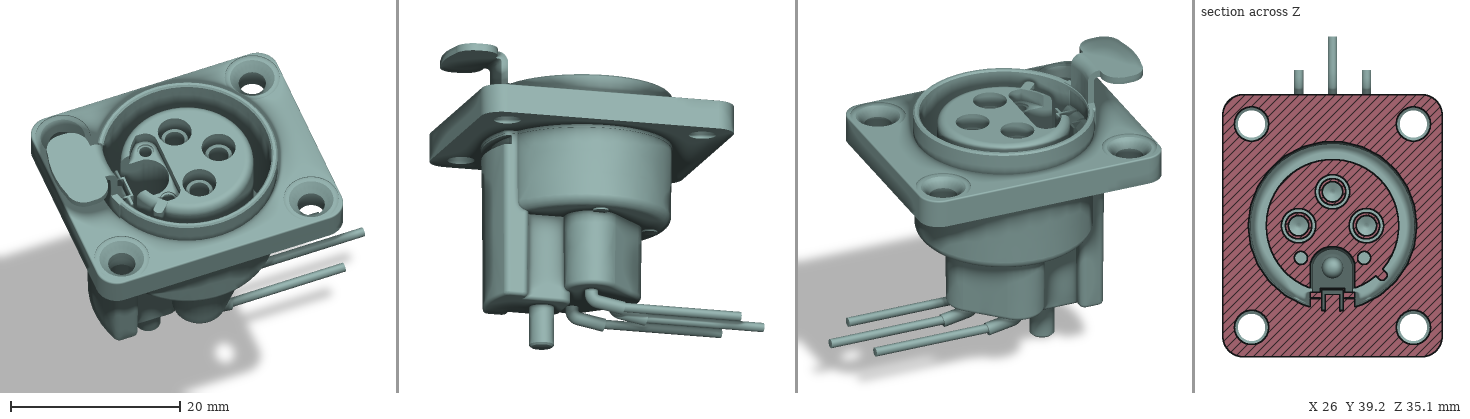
import cadquery as cq
import math


FLANGE_WIDTH = 26.0
FLANGE_LENGTH = 31.05
FLANGE_THICKNESS = 3.45
FLANGE_CORNER_RADIUS = 2.5
FLANGE_EDGE_FILLET = 0.2
SCREW_SPACING_X = 19.1
SCREW_SPACING_Y = 24.02
SCREW_DIAMETER = 3.2
SCREW_CONE_DIAMETER = 5.25
SCREW_RECESS_DIAMETER = 6.5
SCREW_RECESS_DEPTH = 0.1

RIM_TOP = 2.7
RIM_OUTER_RADIUS = 10.7
RIM_LIP_CHAMFER = 0.2
OPENING_TOP_RADIUS = 10.0
OPENING_FLOOR_RADIUS = 9.65
COLLAR_BOTTOM = -3.8
COLLAR_STEP = 0.08
BOWL_BOTTOM = -13.05
BOWL_TOP_RADIUS = RIM_OUTER_RADIUS - COLLAR_STEP
BOWL_LOWER_RADIUS = 10.55
BOWL_CORNER_RADIUS = 1.15
BOWL_FLOOR_THICKNESS = 1.18
SOCKET_FLOOR = BOWL_BOTTOM + BOWL_FLOOR_THICKNESS
PAD_DIAMETER = 1.9
PAD_HEIGHT = 0.2
PAD_SIDE_X = 7.85
PAD_BACK_Y = 8.35

INSERT_TOP = 2.08
INSERT_RADIUS = 7.85
INSERT_EDGE_RADIUS = 1.02
INSERT_FACE_RADIUS = INSERT_RADIUS - INSERT_EDGE_RADIUS
RECESS_DEPTH = 1.57
RECESS_FLOOR = INSERT_TOP - RECESS_DEPTH
RECESS_HALF_WIDTH = 5.15
RECESS_BACK = -2.4
RECESS_CORNER_RADIUS = 1.45
RIVET_X = 3.73
RIVET_Y = -3.8
RIVET_DIAMETER = 1.5
RIVET_MOUTH_DIAMETER = 1.95
RIVET_MOUTH_DEPTH = 0.2
RIVET_DEPTH = 2.35
KEY_WIDTH = 1.18
KEY_REACH = 8.87
KEY_ANGLE = -45
KEY_TIP_RADIUS = 0.47

CONTACT_PITCH = 4.0
CONTACT_HOLE_DIAMETER = 4.0
CONTACT_HOLE_FLOOR = -7.85
SLEEVE_DIAMETER = 3.18
SLEEVE_BORE_DIAMETER = 2.35
SLEEVE_BORE_DEPTH = 4.7
BORE_TIP_ANGLE = 118
TERMINAL_DIAMETER = 1.57
TERMINAL_BEND_RADIUS = 0.95
TERMINAL_SLOPE = 10
TERMINAL_DROP = 0.4
TERMINAL_LENGTH = 3.92
WIRE_DIAMETER = 1.1
WIRE_Z = -23.7
WIRE_END = 18.35

BLOCK_BOTTOM = -21.95
BLOCK_LOBE_RADIUS = 3.25
BLOCK_DRAFT = 0.6
BLOCK_EDGE_FILLET = 0.5

HOUSING_BOTTOM = -23.4
HOUSING_HALF_WIDTH = 5.0
HOUSING_FRONT_RADIUS = 11.9
HOUSING_BACK = -7.77
HOUSING_BACK_CORNER = 0.7
HOUSING_FRONT_CORNER = 0.75
HOUSING_DRAFT = 0.5
HOUSING_EDGE_FILLET = 0.4
NECK_HALF_WIDTH = 3.35
NECK_BACK = -2.05
NECK_CORNER = 1.5
SLOT_TOP = -4.0
SLOT_BOTTOM = -5.05
SLOT_BACK_RADIUS = 10.6
PIN_Y = -4.95
PIN_DIAMETER = 3.0
PIN_BOTTOM = -28.22
PIN_CHAMFER = 0.25

CAVITY_HALF_WIDTH = 2.65
CAVITY_BACK = -2.45
CAVITY_SHOULDER = -4.5
CAVITY_FRONT = -10.2
CAVITY_FLOOR = BLOCK_BOTTOM
CAVITY_DRAFT = 0.9
DOME_DIAMETER = 2.55
BAR_TOP = 0.0
BAR_BACK = -7.8
BAR_FRONT = -9.35
BAR_LAND = 0.27
BAR_VALLEY = -8.55
BAR_DIP = 0.8
FRAME_HALF_WIDTH = 1.5
FRAME_BACK = -7.38
FRAME_WALL = 0.25
TONGUE_HALF_WIDTH = 0.85
TONGUE_BACK = -7.95
TONGUE_FRONT = -9.55
TONGUE_RISE = 0.8

LATCH_OUTER_RADIUS = 10.87
LATCH_THICKNESS = 0.8
LATCH_BOTTOM = -5.5
LATCH_INNER_RADIUS = LATCH_OUTER_RADIUS - LATCH_THICKNESS
LATCH_HALF_ANGLE = 21.7
LATCH_ARM_HALF_WIDTH = 2.45
LATCH_SHOULDER_RADIUS = 0.3
LATCH_INNER_BEND = 0.45
BEND_END_RADIUS = LATCH_OUTER_RADIUS + LATCH_INNER_BEND
TAB_TOP = 6.85
TAB_THICKNESS = 0.85
TAB_BOTTOM = TAB_TOP - TAB_THICKNESS
TAB_HALF_WIDTH = 5.2
TAB_FRONT = -16.88
TAB_BACK = -11.35
TAB_CORNER_X = 3.15
TAB_SIDE_BACK = -13.65
TAB_SIDE_FRONT = -14.2
TAB_FRONT_CORNER_Y = -16.45

CONTACT_POINTS = [(-CONTACT_PITCH, 0), (CONTACT_PITCH, 0), (0, CONTACT_PITCH)]


def cylinder(x, y, diameter, bottom, top):
    return cq.Workplane("XY", origin=(x, y, bottom)).circle(diameter / 2).extrude(top - bottom)


def box(x_range, y_range, z_range):
    sizes = [high - low for low, high in (x_range, y_range, z_range)]
    return cq.Workplane("XY").box(*sizes, centered=False).translate((x_range[0], y_range[0], z_range[0]))


def flange():
    plate = (
        cq.Workplane("XY")
        .rect(FLANGE_WIDTH, FLANGE_LENGTH)
        .extrude(-FLANGE_THICKNESS)
        .edges("|Z")
        .fillet(FLANGE_CORNER_RADIUS)
        .faces(">Z")
        .edges()
        .fillet(FLANGE_EDGE_FILLET)
    )
    cone_depth = (SCREW_CONE_DIAMETER - SCREW_DIAMETER) / 2
    cone_top = -SCREW_RECESS_DEPTH
    screw_hole = (
        cylinder(0, 0, SCREW_DIAMETER, -FLANGE_THICKNESS, 0)
        .union(cylinder(0, 0, SCREW_RECESS_DIAMETER, cone_top, 0))
        .union(
            cq.Workplane("XY", origin=(0, 0, cone_top))
            .circle(SCREW_CONE_DIAMETER / 2)
            .workplane(offset=-cone_depth)
            .circle(SCREW_DIAMETER / 2)
            .loft(ruled=True)
        )
    )
    for x in (-SCREW_SPACING_X / 2, SCREW_SPACING_X / 2):
        for y in (-SCREW_SPACING_Y / 2, SCREW_SPACING_Y / 2):
            plate = plate.cut(screw_hole.translate((x, y, 0)))
    return plate


def shell():
    profile = (
        cq.Workplane("XZ")
        .moveTo(0, RIM_TOP)
        .lineTo(RIM_OUTER_RADIUS - RIM_LIP_CHAMFER, RIM_TOP)
        .lineTo(RIM_OUTER_RADIUS, RIM_TOP - RIM_LIP_CHAMFER)
        .lineTo(RIM_OUTER_RADIUS, COLLAR_BOTTOM)
        .lineTo(BOWL_TOP_RADIUS, COLLAR_BOTTOM)
        .lineTo(BOWL_LOWER_RADIUS, BOWL_BOTTOM + BOWL_CORNER_RADIUS)
        .radiusArc((BOWL_LOWER_RADIUS - BOWL_CORNER_RADIUS, BOWL_BOTTOM), BOWL_CORNER_RADIUS)
        .lineTo(0, BOWL_BOTTOM)
        .close()
    )
    body = profile.revolve(360, (0, 0, 0), (0, 1, 0))
    for x, y in [(-PAD_SIDE_X, 0), (PAD_SIDE_X, 0), (0, PAD_BACK_Y)]:
        body = body.union(cylinder(x, y, PAD_DIAMETER, BOWL_BOTTOM - PAD_HEIGHT, BOWL_BOTTOM))
    return body


def socket_space():
    """Round opening that narrows towards its floor."""
    lip_bottom = RIM_TOP - RIM_LIP_CHAMFER
    return (
        cq.Workplane("XZ")
        .moveTo(0, RIM_TOP)
        .lineTo(OPENING_TOP_RADIUS + RIM_LIP_CHAMFER, RIM_TOP)
        .lineTo(OPENING_TOP_RADIUS, lip_bottom)
        .lineTo(OPENING_FLOOR_RADIUS, SOCKET_FLOOR)
        .lineTo(0, SOCKET_FLOOR)
        .close()
        .revolve(360, (0, 0, 0), (0, 1, 0))
    )


def insert():
    plug = cylinder(0, 0, 2 * INSERT_RADIUS, SOCKET_FLOOR, INSERT_TOP)
    plug = plug.faces(">Z").edges().fillet(INSERT_EDGE_RADIUS)

    key_length = KEY_REACH - INSERT_FACE_RADIUS
    key = (
        cq.Workplane("XY", origin=(0, 0, SOCKET_FLOOR))
        .center(INSERT_FACE_RADIUS + key_length / 2, 0)
        .rect(key_length, KEY_WIDTH)
        .extrude(INSERT_TOP - SOCKET_FLOOR)
        .edges("|Z and >X")
        .fillet(KEY_TIP_RADIUS)
        .rotate((0, 0, 0), (0, 0, 1), KEY_ANGLE)
    )

    recess = (
        cq.Workplane("XY", origin=(0, 0, RECESS_FLOOR))
        .center(0, (RECESS_BACK - INSERT_RADIUS) / 2)
        .rect(2 * RECESS_HALF_WIDTH, INSERT_RADIUS + RECESS_BACK)
        .extrude(RECESS_DEPTH)
        .edges("|Z and >Y")
        .fillet(RECESS_CORNER_RADIUS)
        .intersect(cylinder(0, 0, 2 * INSERT_FACE_RADIUS, RECESS_FLOOR, INSERT_TOP))
    )
    rivet_holes = (
        cq.Workplane("XY", origin=(0, 0, RECESS_FLOOR))
        .pushPoints([(-RIVET_X, RIVET_Y), (RIVET_X, RIVET_Y)])
    )
    rivet_mouths = rivet_holes.circle(RIVET_MOUTH_DIAMETER / 2).extrude(-RIVET_MOUTH_DEPTH)
    rivet_bores = rivet_holes.circle(RIVET_DIAMETER / 2).extrude(-RIVET_DEPTH)

    plug = plug.union(key).cut(recess).cut(rivet_mouths).cut(rivet_bores)
    for x, y in CONTACT_POINTS:
        plug = plug.cut(contact_socket(x, y))
    return plug


def contact_socket(x, y):
    """Space around and inside one hollow contact sleeve."""
    hole = cylinder(x, y, CONTACT_HOLE_DIAMETER, CONTACT_HOLE_FLOOR, INSERT_TOP)
    sleeve = cylinder(x, y, SLEEVE_DIAMETER, CONTACT_HOLE_FLOOR, RECESS_FLOOR)
    bore_radius = SLEEVE_BORE_DIAMETER / 2
    tip_depth = bore_radius / math.tan(math.radians(BORE_TIP_ANGLE / 2))
    bore = (
        cq.Workplane("XZ")
        .lineTo(bore_radius, 0)
        .lineTo(bore_radius, -SLEEVE_BORE_DEPTH)
        .lineTo(0, -SLEEVE_BORE_DEPTH - tip_depth)
        .close()
        .revolve(360, (0, 0, 0), (0, 1, 0))
        .translate((x, y, RECESS_FLOOR))
    )
    return hole.cut(sleeve).union(bore)


def contact_tail(x, y):
    """Terminal that bends towards +Y and carries a straight wire."""
    slope = math.radians(TERMINAL_SLOPE)
    bend_bottom = BLOCK_BOTTOM - TERMINAL_DROP
    turn_end_y = TERMINAL_BEND_RADIUS * (1 - math.sin(slope))
    turn_end_z = bend_bottom - TERMINAL_BEND_RADIUS * math.cos(slope)
    turn_mid = (math.pi / 2 - slope) / 2
    straight = TERMINAL_LENGTH - turn_end_y
    path = (
        cq.Workplane("YZ")
        .moveTo(0, BLOCK_BOTTOM + TERMINAL_DROP)
        .lineTo(0, bend_bottom)
        .threePointArc(
            (
                TERMINAL_BEND_RADIUS * (1 - math.cos(turn_mid)),
                bend_bottom - TERMINAL_BEND_RADIUS * math.sin(turn_mid),
            ),
            (turn_end_y, turn_end_z),
        )
        .lineTo(TERMINAL_LENGTH, turn_end_z - straight * math.tan(slope))
    )
    terminal = (
        cq.Workplane("XY", origin=(0, 0, BLOCK_BOTTOM + TERMINAL_DROP))
        .circle(TERMINAL_DIAMETER / 2)
        .sweep(path)
    )
    wire_start = TERMINAL_LENGTH - TERMINAL_DIAMETER / 2
    wire = (
        cq.Workplane("XZ", origin=(0, wire_start, 0))
        .center(0, WIRE_Z)
        .circle(WIRE_DIAMETER / 2)
        .extrude(wire_start - WIRE_END)
    )
    return terminal.union(wire).translate((x, y, 0))


def contact_block():
    """Three rounded lobes joined by tangent flats, slightly narrower towards the bottom."""
    radius = BLOCK_LOBE_RADIUS
    diagonal = radius * math.sqrt(0.5)
    pitch = CONTACT_PITCH
    outer_turn = math.radians((-90 + 45) / 2)
    turn_x = pitch + radius * math.cos(outer_turn)
    turn_y = radius * math.sin(outer_turn)
    return (
        cq.Workplane("XY", origin=(0, 0, SOCKET_FLOOR))
        .moveTo(-pitch, -radius)
        .lineTo(pitch, -radius)
        .threePointArc((turn_x, turn_y), (pitch + diagonal, diagonal))
        .lineTo(diagonal, pitch + diagonal)
        .threePointArc((0, pitch + radius), (-diagonal, pitch + diagonal))
        .lineTo(-pitch - diagonal, diagonal)
        .threePointArc((-turn_x, turn_y), (-pitch, -radius))
        .close()
        .extrude(BLOCK_BOTTOM - SOCKET_FLOOR, taper=BLOCK_DRAFT)
        .faces("<Z")
        .edges()
        .fillet(BLOCK_EDGE_FILLET)
    )


def housing_outline(z, half_width, front_radius):
    """Straight-sided outline whose front is an arc about the socket axis."""
    side_front_y = -math.sqrt(front_radius**2 - half_width**2)
    return (
        cq.Workplane("XY", origin=(0, 0, z))
        .moveTo(-half_width, HOUSING_BACK)
        .lineTo(-half_width, side_front_y)
        .threePointArc((0, -front_radius), (half_width, side_front_y))
        .lineTo(half_width, HOUSING_BACK)
        .close()
    )


def latch_housing():
    outer = housing_outline(-FLANGE_THICKNESS, HOUSING_HALF_WIDTH, HOUSING_FRONT_RADIUS)
    outer = outer.extrude(HOUSING_BOTTOM + FLANGE_THICKNESS, taper=HOUSING_DRAFT)
    outer = outer.edges("%BSPLINE").fillet(HOUSING_FRONT_CORNER)
    outer = outer.edges("%LINE and (not #Z)").edges(">Y").fillet(HOUSING_BACK_CORNER)

    collar = housing_outline(
        -FLANGE_THICKNESS, HOUSING_HALF_WIDTH + COLLAR_STEP, HOUSING_FRONT_RADIUS + COLLAR_STEP
    ).extrude(COLLAR_BOTTOM + FLANGE_THICKNESS)
    collar = collar.edges("|Z").edges("<Y").fillet(HOUSING_FRONT_CORNER)

    neck_front = HOUSING_BACK - HOUSING_BACK_CORNER
    neck = (
        cq.Workplane("XY", origin=(0, (NECK_BACK + neck_front) / 2, SOCKET_FLOOR))
        .rect(2 * NECK_HALF_WIDTH, NECK_BACK - neck_front)
        .extrude(HOUSING_BOTTOM - SOCKET_FLOOR)
        .edges("|Z and >Y")
        .fillet(NECK_CORNER)
    )
    return outer.union(neck).faces("<Z").edges().fillet(HOUSING_EDGE_FILLET).union(collar)


def pin():
    shaft = cylinder(0, PIN_Y, PIN_DIAMETER, PIN_BOTTOM, CAVITY_FLOOR)
    return shaft.faces("<Z").edges().chamfer(PIN_CHAMFER)


def latch_slot():
    """Slot across the housing front that exposes the latch foot."""
    block = box(
        (-FLANGE_WIDTH / 2, FLANGE_WIDTH / 2),
        (-FLANGE_LENGTH / 2, -LATCH_INNER_RADIUS),
        (SLOT_BOTTOM, SLOT_TOP),
    )
    return block.cut(cylinder(0, 0, 2 * SLOT_BACK_RADIUS, SLOT_BOTTOM, SLOT_TOP))


def latch_cavity():
    return (
        cq.Workplane("XY", origin=(0, 0, INSERT_TOP))
        .moveTo(-CAVITY_HALF_WIDTH, CAVITY_FRONT)
        .lineTo(CAVITY_HALF_WIDTH, CAVITY_FRONT)
        .lineTo(CAVITY_HALF_WIDTH, CAVITY_SHOULDER)
        .threePointArc((0, CAVITY_BACK), (-CAVITY_HALF_WIDTH, CAVITY_SHOULDER))
        .close()
        .extrude(CAVITY_FLOOR - INSERT_TOP, taper=CAVITY_DRAFT)
    )


def plunger_dome():
    return cq.Workplane("XY").sphere(DOME_DIAMETER / 2).translate((0, PIN_Y, CAVITY_FLOOR))


def latch():
    half = LATCH_HALF_ANGLE
    outer_bend = LATCH_INNER_BEND + TAB_THICKNESS
    strip = (
        cq.Workplane("XZ")
        .moveTo(LATCH_INNER_RADIUS, LATCH_BOTTOM)
        .lineTo(LATCH_INNER_RADIUS, TAB_TOP - outer_bend)
        .radiusArc((BEND_END_RADIUS, TAB_TOP), outer_bend)
        .lineTo(BEND_END_RADIUS, TAB_BOTTOM)
        .radiusArc((LATCH_OUTER_RADIUS, TAB_BOTTOM - LATCH_INNER_BEND), -LATCH_INNER_BEND)
        .lineTo(LATCH_OUTER_RADIUS, LATCH_BOTTOM)
        .close()
        .revolve(2 * half, (0, 0, 0), (0, 1, 0))
        .rotate((0, 0, 0), (0, 0, 1), -90 - half)
    )
    for side in (-1, 1):
        x_range = sorted((side * LATCH_ARM_HALF_WIDTH, side * FLANGE_WIDTH / 2))
        strip = strip.cut(box(x_range, (-FLANGE_LENGTH / 2, 0), (RIM_TOP, TAB_TOP)))
    shoulder_edges = strip.edges("%LINE and (not |Z)").edges("<X or >X").edges(">Z")
    strip = shoulder_edges.fillet(LATCH_SHOULDER_RADIUS)
    return strip.union(push_tab())


def latch_bar():
    """Notched cross bar behind the latch, split by a framed window with a sloping tongue."""
    bar = (
        cq.Workplane("YZ", origin=(-CAVITY_HALF_WIDTH, 0, 0))
        .moveTo(BAR_BACK, LATCH_BOTTOM)
        .lineTo(BAR_BACK, BAR_TOP)
        .lineTo(BAR_BACK - BAR_LAND, BAR_TOP)
        .lineTo(BAR_VALLEY, BAR_TOP - BAR_DIP)
        .lineTo(BAR_FRONT, BAR_TOP)
        .lineTo(BAR_FRONT, LATCH_BOTTOM)
        .close()
        .extrude(2 * CAVITY_HALF_WIDTH)
    )
    height = (LATCH_BOTTOM, BAR_TOP)
    ledge = box((-CAVITY_HALF_WIDTH, CAVITY_HALF_WIDTH), (-LATCH_INNER_RADIUS, BAR_FRONT), height)
    frame = box((-FRAME_HALF_WIDTH, FRAME_HALF_WIDTH), (BAR_FRONT, FRAME_BACK), height)
    window_half_width = FRAME_HALF_WIDTH - FRAME_WALL
    window_back = FRAME_BACK - FRAME_WALL
    window = box((-window_half_width, window_half_width), (-LATCH_INNER_RADIUS, window_back), height)
    tongue_end = -LATCH_INNER_RADIUS - LATCH_THICKNESS / 2
    tongue = (
        cq.Workplane("YZ", origin=(-TONGUE_HALF_WIDTH, 0, 0))
        .moveTo(TONGUE_BACK, LATCH_BOTTOM)
        .lineTo(tongue_end, LATCH_BOTTOM)
        .lineTo(tongue_end, BAR_TOP)
        .lineTo(TONGUE_FRONT, BAR_TOP)
        .lineTo(TONGUE_BACK, BAR_TOP - TONGUE_RISE)
        .close()
        .extrude(2 * TONGUE_HALF_WIDTH)
    )
    return bar.union(ledge).union(frame).cut(window).union(tongue)


def push_tab():
    bend_side_y = -math.sqrt(BEND_END_RADIUS**2 - LATCH_ARM_HALF_WIDTH**2)
    corner_depth = TAB_BACK - TAB_SIDE_BACK
    corner_width = TAB_HALF_WIDTH - TAB_CORNER_X
    bulge = math.sqrt(0.5)
    back_mid = (TAB_CORNER_X + corner_width * bulge, TAB_SIDE_BACK + corner_depth * bulge)
    front_depth = TAB_SIDE_FRONT - TAB_FRONT_CORNER_Y
    front_mid = (TAB_CORNER_X + corner_width * bulge, TAB_SIDE_FRONT - front_depth * bulge)
    return (
        cq.Workplane("XY", origin=(0, 0, TAB_BOTTOM))
        .moveTo(-LATCH_ARM_HALF_WIDTH, bend_side_y)
        .threePointArc((0, -BEND_END_RADIUS), (LATCH_ARM_HALF_WIDTH, bend_side_y))
        .lineTo(LATCH_ARM_HALF_WIDTH, TAB_BACK)
        .lineTo(TAB_CORNER_X, TAB_BACK)
        .threePointArc(back_mid, (TAB_HALF_WIDTH, TAB_SIDE_BACK))
        .lineTo(TAB_HALF_WIDTH, TAB_SIDE_FRONT)
        .threePointArc(front_mid, (TAB_CORNER_X, TAB_FRONT_CORNER_Y))
        .threePointArc((0, TAB_FRONT), (-TAB_CORNER_X, TAB_FRONT_CORNER_Y))
        .threePointArc((-front_mid[0], front_mid[1]), (-TAB_HALF_WIDTH, TAB_SIDE_FRONT))
        .lineTo(-TAB_HALF_WIDTH, TAB_SIDE_BACK)
        .threePointArc((-back_mid[0], back_mid[1]), (-TAB_CORNER_X, TAB_BACK))
        .lineTo(-LATCH_ARM_HALF_WIDTH, TAB_BACK)
        .close()
        .extrude(TAB_THICKNESS)
    )


body = flange().union(shell()).union(contact_block()).union(latch_housing())
body = body.cut(socket_space()).union(insert())
body = body.cut(latch_slot()).cut(latch_cavity())
body = body.union(pin()).union(plunger_dome())
for x, y in CONTACT_POINTS:
    body = body.union(contact_tail(x, y))
result = body.union(latch()).union(latch_bar())